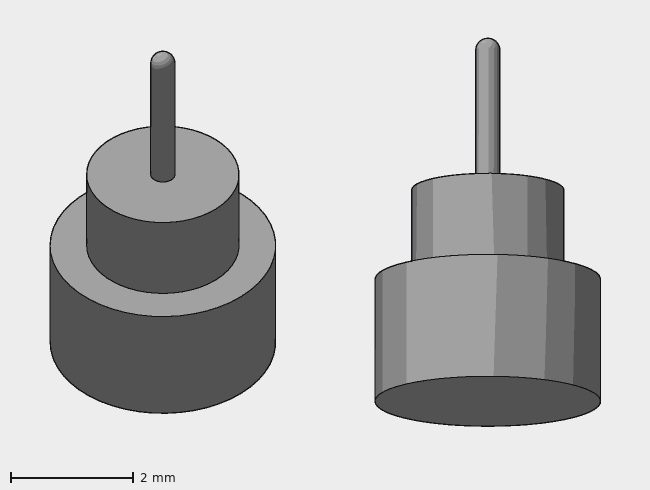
import cadquery as cq

total_height = 6.1
base_diameter = 3.7
base_height = 2.05
collar_diameter = 2.5
collar_height = 1.5
insulator_diameter = 1.95
pin_diameter = 0.4

collar_top = base_height + collar_height
tip_radius = pin_diameter / 2
tip_center_height = total_height - tip_radius


def make_shell():
    """Stepped outer body: wide base with a narrower collar, bored for the insulator."""
    base = cq.Workplane("XY").circle(base_diameter / 2).extrude(base_height)
    collar = (
        cq.Workplane("XY", origin=(0, 0, base_height))
        .circle(collar_diameter / 2)
        .circle(insulator_diameter / 2)
        .extrude(collar_height)
    )
    return base.union(collar)


def make_insulator():
    """Insulator that fills the collar bore and ends flush with the collar top."""
    return (
        cq.Workplane("XY", origin=(0, 0, base_height))
        .circle(insulator_diameter / 2)
        .extrude(collar_height)
    )


def make_pin():
    """Contact pin with a hemispherical tip, standing on the insulator."""
    shank = (
        cq.Workplane("XY", origin=(0, 0, collar_top))
        .circle(pin_diameter / 2)
        .extrude(tip_center_height - collar_top)
    )
    tip = cq.Workplane("XY", origin=(0, 0, tip_center_height)).sphere(tip_radius)
    return shank.union(tip)


result = make_shell().union(make_insulator(), clean=False).union(make_pin(), clean=False)